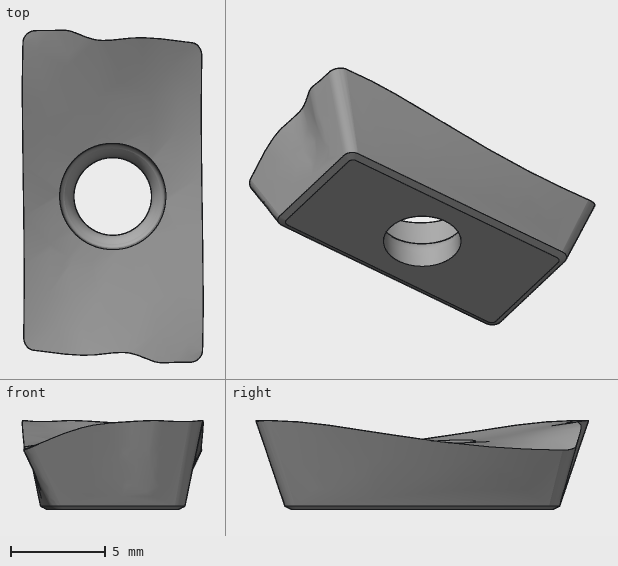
import cadquery as cq


total_height = 4.73
chamfer_height = 0.18

base_half_length = 7.28
base_nose_x = 3.85
base_blunt_x = -3.28
base_chamfer_inset = 0.36

rim_height = 5.0
rim_nose = (4.795, -8.9)
rim_blunt = (-5.64, -8.58)

base_corner = 0.55
chamfer_corner = 0.3
rim_corner = 0.68

step_points = [(-2.7, -8.62), (-0.9, -8.51), (0.9, -8.38), (1.6, -8.6), (2.4, -8.885), (3.3, -8.9)]

side_point = (4.95, -4.4)

edge_half_width = 4.75
middle_profile = (3.485, 0.01975, -0.00005)
edge_profile = (3.725, 0.0058, -0.0000407)

twist_core = 0.6
twist_slope = 0.1423
twist_flattening = 0.00067

top_half_x = 6.2
top_half_y = 9.3
grid_steps = 24

hole_diameter = 4.1
hole_top = 0.98
seat_diameter = 5.09
seat_top = 1.99
bore_bottom_diameter = 5.5
bore_bottom = 2.33
bore_top_diameter = 5.75
step_sagitta = 0.06


def toward(start, end, distance):
    """Point at a distance from start on the way to end."""
    return start + (end - start).normalized() * distance


def trimmed_edge(path, corner):
    """Line or spline along the path, shortened at both ends by the corner size."""
    start = toward(path[0], path[1], corner)
    end = toward(path[-1], path[-2], corner)
    if len(path) == 2:
        return cq.Edge.makeLine(start, end)
    tangents = [path[1] - path[0], path[-1] - path[-2]]
    return cq.Edge.makeSpline([start, *path[1:-1], end], tangents=tangents)


def tangent_arc(before, after):
    """Arc that rounds the corner between two edges."""
    return cq.Edge.makeTangentArc(before.endPoint(), before.tangentAt(1), after.startPoint())


def section(nose, blunt, corner, z, step=(), side=()):
    """Closed outline at height z, built from the -Y end and its half-turn copy."""
    nose = cq.Vector(*nose, z)
    blunt = cq.Vector(*blunt, z)
    opposite_blunt = cq.Vector(-blunt.x, -blunt.y, z)
    end_path = [blunt, *(cq.Vector(*point, z) for point in step), nose]
    side_path = [nose, *(cq.Vector(*point, z) for point in side), opposite_blunt]

    end_edge = trimmed_edge(end_path, corner)
    side_edge = trimmed_edge(side_path, corner)
    axis_start = cq.Vector(0, 0, 0)
    axis_end = cq.Vector(0, 0, 1)
    previous_side = side_edge.rotate(axis_start, axis_end, 180)
    half = [
        tangent_arc(previous_side, end_edge),
        end_edge,
        tangent_arc(end_edge, side_edge),
        side_edge,
    ]
    return cq.Wire.assembleEdges(half + [edge.rotate(axis_start, axis_end, 180) for edge in half])


def lengthwise_height(profile, y):
    """Height of one lengthwise profile at y."""
    height, square, fourth = profile
    return height + square * y**2 + fourth * y**4


def top_height(x, y):
    """Height of the twisted, saddle-shaped top face."""
    across = x / edge_half_width
    blend = (3 * across**2 - across**4) / 2
    middle = lengthwise_height(middle_profile, y)
    edge = lengthwise_height(edge_profile, y)
    twist_across = across * (twist_core + (1 - twist_core) * across**2)
    twist_along = twist_slope * y - twist_flattening * y**3
    return middle + (edge - middle) * blend - twist_across * twist_along


def make_body():
    """Flared walls over a chamfered base."""
    base = section((base_nose_x, -base_half_length), (base_blunt_x, -base_half_length),
                   base_corner, chamfer_height)
    bottom_y = base_chamfer_inset - base_half_length
    bottom = section((base_nose_x - base_chamfer_inset, bottom_y),
                     (base_blunt_x + base_chamfer_inset, bottom_y), chamfer_corner, 0)
    rim = section(rim_nose, rim_blunt, rim_corner, rim_height, step_points, [side_point])
    walls = cq.Solid.makeLoft([base, rim], True)
    chamfer = cq.Solid.makeLoft([bottom, base], True)
    return cq.Workplane(walls).union(cq.Workplane(chamfer))


def make_top_cutter():
    """Everything above the top face."""
    grid = []
    for i in range(grid_steps + 1):
        x = top_half_x * (2 * i / grid_steps - 1)
        row = []
        for j in range(grid_steps + 1):
            y = top_half_y * (2 * j / grid_steps - 1)
            row.append(cq.Vector(x, y, top_height(x, y)))
        grid.append(row)
    face = cq.Face.makeSplineApprox(grid, tol=0.001, minDeg=3, maxDeg=6)
    return cq.Workplane(cq.Solid.extrudeLinear(face, cq.Vector(0, 0, total_height)))


def make_hole():
    """Stepped screw hole with a curved seat."""
    hole_r = hole_diameter / 2
    seat_r = seat_diameter / 2
    step_r = bore_bottom_diameter / 2
    return (
        cq.Workplane("XZ")
        .lineTo(hole_r, 0)
        .lineTo(hole_r, hole_top)
        .tangentArcPoint((seat_r, seat_top), relative=False)
        .sagittaArc((step_r, bore_bottom), -step_sagitta)
        .lineTo(bore_top_diameter / 2, total_height)
        .lineTo(0, total_height)
        .close()
        .revolve(360, (0, 0, 0), (0, 1, 0))
    )


result = make_body().cut(make_top_cutter()).cut(make_hole())